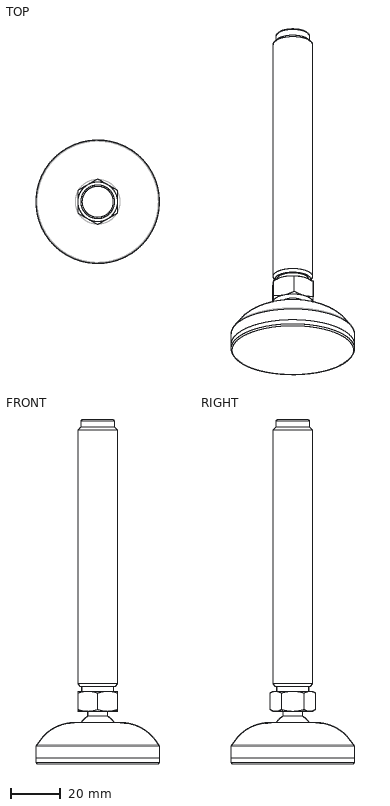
import cadquery as cq
import math

TOTAL_HEIGHT = 139.2
FOOT_RADIUS = 50.0 / 2

PAD_HEIGHT = 2.5
PAD_CHAMFER_HEIGHT = 0.7
PAD_CHAMFER_WIDTH = 0.4

RIM_TOP = 7.2
DOME_BOTTOM = 8.0
DOME_BOTTOM_RADIUS = 24.5
DOME_TOP = 16.8
DOME_FLAT_RADIUS = 9.0

BALL_RADIUS = 16.0 / 2
NECK_RADIUS = 8.1 / 2
NECK_BOTTOM = 19.3
BALL_CENTER = NECK_BOTTOM - math.sqrt(BALL_RADIUS**2 - NECK_RADIUS**2)

HEX_SIDES = 6
HEX_BOTTOM = 21.3
HEX_HEIGHT = 8.1
HEX_TOP = HEX_BOTTOM + HEX_HEIGHT
HEX_ACROSS_FLATS = 16.0
HEX_ACROSS_CORNERS = HEX_ACROSS_FLATS / math.cos(math.radians(180 / HEX_SIDES))
HEX_CHAMFER_ANGLE = 30.0

SHANK_RADIUS = 16.0 / 2
UNDERCUT_RADIUS = 13.0 / 2
SHANK_LOWER_CHAMFER_RADIUS = 14.5 / 2
UNDERCUT_TOP = 31.3
SHANK_BOTTOM = 32.6
TIP_RADIUS = 13.6 / 2
TIP_LENGTH = 3.0
TIP_CHAMFER = 0.5
SHANK_UPPER_CHAMFER = SHANK_RADIUS - TIP_RADIUS


def make_ball():
    """Ball shared by the stud and the socket in the foot."""
    return cq.Workplane("XY").sphere(BALL_RADIUS).translate((0, 0, BALL_CENTER))


def make_pad():
    """Flat disc under the foot, bevelled at its lower edge."""
    profile = (
        cq.Workplane("XZ")
        .lineTo(FOOT_RADIUS - PAD_CHAMFER_WIDTH, 0)
        .lineTo(FOOT_RADIUS, PAD_CHAMFER_HEIGHT)
        .lineTo(FOOT_RADIUS, PAD_HEIGHT)
        .lineTo(0, PAD_HEIGHT)
        .close()
    )
    return profile.revolve(360, (0, 0, 0), (0, 1, 0))


def make_foot():
    """Domed foot with a spherical socket; the dome is tangent to its flat top."""
    run = DOME_BOTTOM_RADIUS - DOME_FLAT_RADIUS
    drop = DOME_TOP - DOME_BOTTOM
    dome_arc_radius = (run**2 + drop**2) / (2 * drop)
    half_sweep = math.asin(run / dome_arc_radius) / 2
    arc_middle = (
        DOME_FLAT_RADIUS + dome_arc_radius * math.sin(half_sweep),
        DOME_TOP - dome_arc_radius * (1 - math.cos(half_sweep)),
    )
    profile = (
        cq.Workplane("XZ")
        .moveTo(0, PAD_HEIGHT)
        .lineTo(FOOT_RADIUS, PAD_HEIGHT)
        .lineTo(FOOT_RADIUS, RIM_TOP)
        .lineTo(DOME_BOTTOM_RADIUS, DOME_BOTTOM)
        .threePointArc(arc_middle, (DOME_FLAT_RADIUS, DOME_TOP))
        .lineTo(0, DOME_TOP)
        .close()
    )
    return profile.revolve(360, (0, 0, 0), (0, 1, 0)).cut(make_ball())


def make_hexagon():
    """Hexagon with two corners on the Y axis, corners bevelled at both ends."""
    hexagon = (
        cq.Workplane("XY", origin=(0, 0, HEX_BOTTOM))
        .polygon(HEX_SIDES, HEX_ACROSS_CORNERS)
        .extrude(HEX_HEIGHT)
        .rotate((0, 0, 0), (0, 0, 1), 180 / HEX_SIDES)
    )
    corner_radius = HEX_ACROSS_CORNERS / 2
    end_radius = HEX_ACROSS_FLATS / 2
    bevel = (corner_radius - end_radius) * math.tan(math.radians(HEX_CHAMFER_ANGLE))
    envelope = (
        cq.Workplane("XZ")
        .moveTo(0, HEX_BOTTOM)
        .lineTo(end_radius, HEX_BOTTOM)
        .lineTo(corner_radius, HEX_BOTTOM + bevel)
        .lineTo(corner_radius, HEX_TOP - bevel)
        .lineTo(end_radius, HEX_TOP)
        .lineTo(0, HEX_TOP)
        .close()
        .revolve(360, (0, 0, 0), (0, 1, 0))
    )
    return hexagon.intersect(envelope)


def make_neck():
    """Thin neck from inside the ball up to the hexagon."""
    return (
        cq.Workplane("XY", origin=(0, 0, BALL_CENTER))
        .circle(NECK_RADIUS)
        .extrude(HEX_BOTTOM - BALL_CENTER)
    )


def make_shank():
    """Long shank with an undercut above the hexagon and a reduced tip."""
    tip_bottom = TOTAL_HEIGHT - TIP_LENGTH
    profile = (
        cq.Workplane("XZ")
        .moveTo(0, HEX_TOP)
        .lineTo(UNDERCUT_RADIUS, HEX_TOP)
        .lineTo(UNDERCUT_RADIUS, UNDERCUT_TOP)
        .lineTo(SHANK_LOWER_CHAMFER_RADIUS, UNDERCUT_TOP)
        .lineTo(SHANK_RADIUS, SHANK_BOTTOM)
        .lineTo(SHANK_RADIUS, tip_bottom - SHANK_UPPER_CHAMFER)
        .lineTo(TIP_RADIUS, tip_bottom)
        .lineTo(TIP_RADIUS, TOTAL_HEIGHT - TIP_CHAMFER)
        .lineTo(TIP_RADIUS - TIP_CHAMFER, TOTAL_HEIGHT)
        .lineTo(0, TOTAL_HEIGHT)
        .close()
    )
    return profile.revolve(360, (0, 0, 0), (0, 1, 0))


def make_stud():
    """Ball, neck, hexagon and shank in one piece."""
    return make_ball().union(make_neck()).union(make_hexagon()).union(make_shank())


pad = make_pad()
foot = make_foot()
stud = make_stud()

result = cq.Compound.makeCompound([pad.val(), foot.val(), stud.val()])